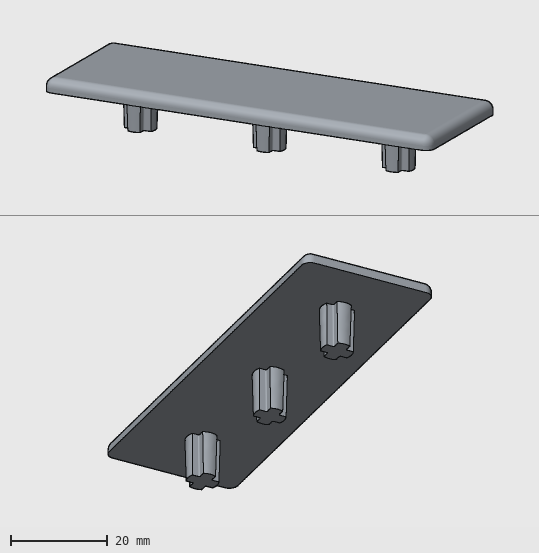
import cadquery as cq

plate_length = 90.0
plate_width = plate_length / 3
plate_thickness = 3.0
edge_radius = 2.0

peg_height = 9.8
peg_diameter = 7.3
arm_width = 3.3
inner_corner_radius = 0.3
peg_draft = 1.5
peg_spacing = plate_length / 3
peg_count = 3


def make_plate():
    """Plate resting on Z = 0 with rounded corners and top edges."""
    plate = cq.Workplane("XY").box(
        plate_length, plate_width, plate_thickness, centered=(True, True, False)
    )
    return plate.edges("|Z").fillet(edge_radius).faces(">Z").edges().fillet(edge_radius)


def make_arm(size_x, size_y):
    """Drafted bar hanging from Z = 0."""
    return cq.Workplane("XY").rect(size_x, size_y).extrude(-peg_height, taper=peg_draft)


def make_peg():
    """Tapered cross whose arm ends follow a cone."""
    cone = cq.Workplane("XY").circle(peg_diameter / 2).extrude(-peg_height, taper=peg_draft)
    bar_length = 1.5 * peg_diameter
    cross = make_arm(bar_length, arm_width).union(make_arm(arm_width, bar_length))
    reach = 1.2 * arm_width
    core = cq.selectors.BoxSelector((-reach / 2, -reach / 2, -peg_height), (reach / 2, reach / 2, 0))
    cross = cross.edges(core).edges("not #Z").fillet(inner_corner_radius)
    return cone.intersect(cross)


result = make_plate()
for index in range(peg_count):
    peg_x = (index - (peg_count - 1) / 2) * peg_spacing
    result = result.union(make_peg().translate((peg_x, 0, 0)))